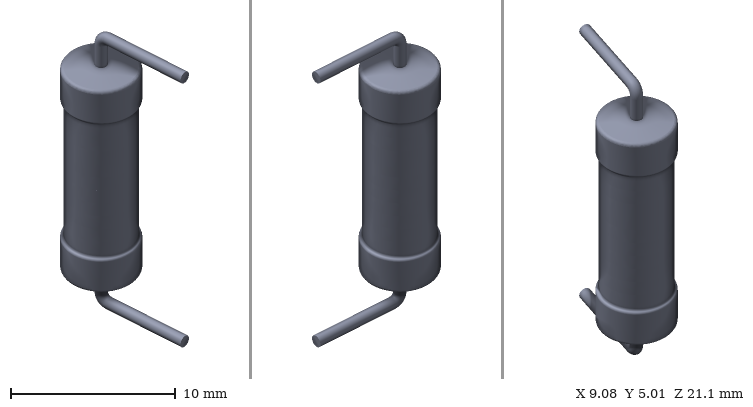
import cadquery as cq
import math

total_height = 21.12
total_width = 9.08
cap_radius = 2.503
body_radius = 2.3
wire_radius = 0.4
bend_radius = 0.6
shoulder_start = 5.05
shoulder_end = 5.36
rim_corner = 7.73
rim_round = 0.23
top_cone_rise = 0.25
bottom_cone_rise = 0.49
band_width = 1.0
band_depth = 0.21
band_tops = [4.0, 1.0, -1.0, -3.0]

arm_height = total_height / 2 - wire_radius
arm_end = total_width - cap_radius
shoulder_mid_radius = (cap_radius + body_radius) / 2
shoulder_mid_height = (shoulder_start + shoulder_end) / 2


def make_band(top):
    """Colour band flush with the barrel surface."""
    return (
        cq.Workplane("XY", origin=(0, 0, top - band_width))
        .circle(body_radius)
        .circle(body_radius - band_depth)
        .extrude(band_width)
    )


def make_wire():
    """One wire along the axis, bent towards +X at both ends."""
    bend_start = arm_height - bend_radius
    bend_offset = bend_radius * (1 - math.sqrt(0.5))
    bend_mid_height = arm_height - bend_offset
    path = (
        cq.Workplane("XZ")
        .moveTo(arm_end, -arm_height)
        .lineTo(bend_radius, -arm_height)
        .threePointArc((bend_offset, -bend_mid_height), (0, -bend_start))
        .lineTo(0, bend_start)
        .threePointArc((bend_offset, bend_mid_height), (bend_radius, arm_height))
        .lineTo(arm_end, arm_height)
    )
    return cq.Workplane("YZ", origin=(arm_end, 0, -arm_height)).circle(wire_radius).sweep(path)


def make_housing():
    """Barrel with two end caps, bored for the wire and recessed for the bands."""
    housing = (
        cq.Workplane("XZ")
        .moveTo(0, -rim_corner - bottom_cone_rise)
        .lineTo(cap_radius, -rim_corner)
        .lineTo(cap_radius, -shoulder_end)
        .tangentArcPoint((shoulder_mid_radius, -shoulder_mid_height), relative=False)
        .tangentArcPoint((body_radius, -shoulder_start), relative=False)
        .lineTo(body_radius, shoulder_start)
        .tangentArcPoint((shoulder_mid_radius, shoulder_mid_height), relative=False)
        .tangentArcPoint((cap_radius, shoulder_end), relative=False)
        .lineTo(cap_radius, rim_corner)
        .lineTo(0, rim_corner + top_cone_rise)
        .close()
        .revolve(360, (0, 0), (0, 1))
    )
    housing = housing.edges("%CIRCLE").edges(">Z or <Z").fillet(rim_round)
    bore = cq.Workplane("XY").circle(wire_radius).extrude(arm_height - bend_radius, both=True)
    housing = housing.cut(bore)
    for top in band_tops:
        housing = housing.cut(make_band(top))
    return housing


housing = make_housing()
wire = make_wire()
bands = [make_band(top) for top in band_tops]

result = cq.Compound.makeCompound([housing.val(), wire.val(), *[band.val() for band in bands]])